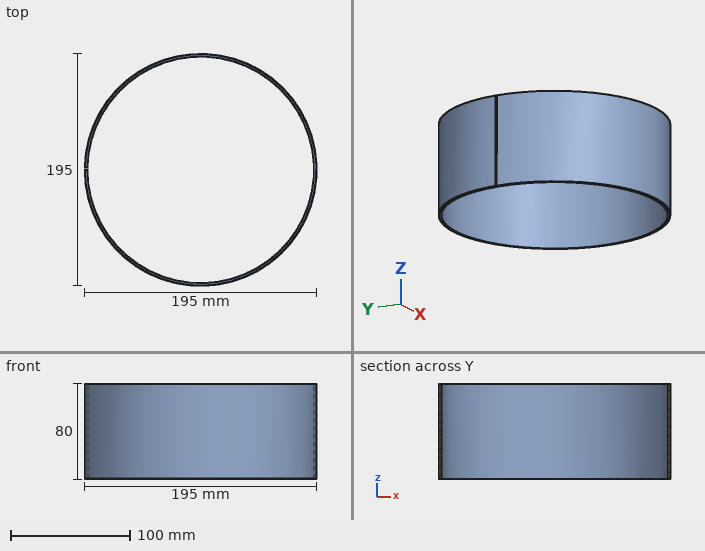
import cadquery as cq

outer_diameter = 195.0
wall_thickness = 2.5
height = 80.0
outer_chamfer = 0.5
inner_chamfer = 0.2
split_angle = 1.0

outer_radius = outer_diameter / 2
inner_radius = outer_radius - wall_thickness


def wall_section():
    """Cross-section of the wall on the -X side, with all four corners bevelled."""
    rim_outer_radius = outer_radius - outer_chamfer
    rim_inner_radius = inner_radius + inner_chamfer
    return (
        cq.Workplane("XZ")
        .moveTo(-rim_inner_radius, 0)
        .lineTo(-rim_outer_radius, 0)
        .lineTo(-outer_radius, outer_chamfer)
        .lineTo(-outer_radius, height - outer_chamfer)
        .lineTo(-rim_outer_radius, height)
        .lineTo(-rim_inner_radius, height)
        .lineTo(-inner_radius, height - inner_chamfer)
        .lineTo(-inner_radius, inner_chamfer)
        .close()
    )


def make_split_ring():
    """Sweep the wall from -X round through -Y, +X and +Y, stopping short of a full turn.

    The gap that is left lies just on the +Y side of the -X axis.
    """
    axis_start = (0, 0)
    axis_end = (0, height)
    return wall_section().revolve(360 - split_angle, axis_start, axis_end)


result = make_split_ring()